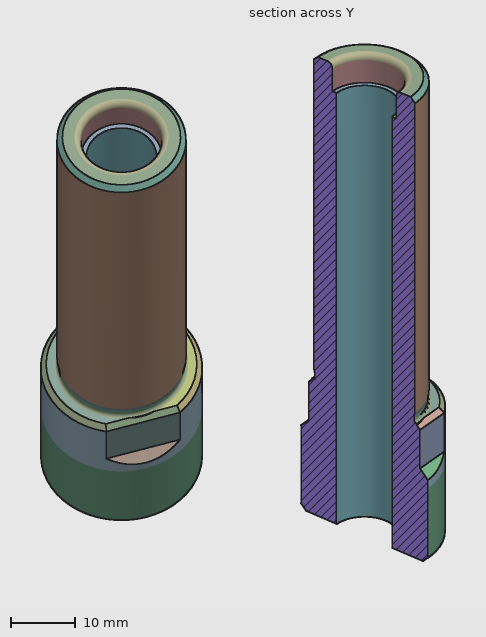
import cadquery as cq

total_length = 85.0
collar_height = 25.0
seam_height = 13.9

collar_radius = 25.0 / 2
collar_bottom_chamfer = 1.0
collar_top_chamfer = 0.85

shank_radius = 20.0 / 2
shank_top_chamfer = 0.85
neck_radius = 19.6 / 2
neck_root_fillet = 0.5
runout_start = 26.2
runout_end = 26.95

bore_radius = 10.9 / 2
counterbore_radius = 12.5 / 2
counterbore_depth = 5.2
mouth_rounding = 1.0

flat_distance = 11.0
flat_bottom = 17.0
flat_cut_overrun = 0.85


def make_collar():
    """Cylindrical collar with a chamfered foot, split at the seam line."""
    lower = (
        cq.Workplane("XY").circle(collar_radius).extrude(seam_height)
        .faces("<Z").chamfer(collar_bottom_chamfer)
    )
    upper = (
        cq.Workplane("XY").workplane(offset=seam_height)
        .circle(collar_radius).extrude(collar_height - seam_height)
    )
    return lower.union(upper, clean=False)


def make_flat_cutter():
    """Prism that cuts the +X flat, its 45 degree floor and its top chamfer."""
    floor_outer = collar_radius + flat_cut_overrun
    floor_drop = floor_outer - flat_distance
    return (
        cq.Workplane("XZ")
        .moveTo(flat_distance, flat_bottom)
        .lineTo(floor_outer, flat_bottom - floor_drop)
        .lineTo(floor_outer, collar_height)
        .lineTo(flat_distance - collar_top_chamfer, collar_height)
        .lineTo(flat_distance, collar_height - collar_top_chamfer)
        .close()
        .extrude(collar_radius, both=True)
    )


def make_rim_cutter():
    """Ring that chamfers the round top edge of the collar."""
    return (
        cq.Workplane("XZ")
        .moveTo(collar_radius, collar_height - collar_top_chamfer)
        .lineTo(collar_radius, collar_height)
        .lineTo(collar_radius - collar_top_chamfer, collar_height)
        .close()
        .revolve(360, (0, 0, 0), (0, 1, 0))
    )


def make_shank():
    """Shank with a slim neck, a tapered run-out and a filleted root."""
    root_radius = neck_radius + neck_root_fillet
    return (
        cq.Workplane("XZ")
        .moveTo(0, seam_height)
        .lineTo(neck_radius, seam_height)
        .lineTo(root_radius, collar_height)
        .radiusArc((neck_radius, collar_height + neck_root_fillet), neck_root_fillet)
        .lineTo(neck_radius, runout_start)
        .lineTo(shank_radius, runout_end)
        .lineTo(shank_radius, total_length - shank_top_chamfer)
        .lineTo(shank_radius - shank_top_chamfer, total_length)
        .lineTo(0, total_length)
        .close()
        .revolve(360, (0, 0, 0), (0, 1, 0))
    )


def make_bore():
    """Through bore with a counterbore whose mouth is rounded outward."""
    return (
        cq.Workplane("XZ")
        .lineTo(bore_radius, 0)
        .lineTo(bore_radius, total_length - counterbore_depth)
        .lineTo(counterbore_radius, total_length - counterbore_depth)
        .lineTo(counterbore_radius, total_length - mouth_rounding)
        .radiusArc((counterbore_radius + mouth_rounding, total_length), mouth_rounding)
        .lineTo(0, total_length)
        .close()
        .revolve(360, (0, 0, 0), (0, 1, 0))
    )


right_flat = make_flat_cutter()
collar = make_collar().cut(make_rim_cutter(), clean=False)
for flat in (right_flat, right_flat.mirror("YZ")):
    collar = collar.cut(flat, clean=False)

result = collar.union(make_shank(), clean=False).cut(make_bore(), clean=False)